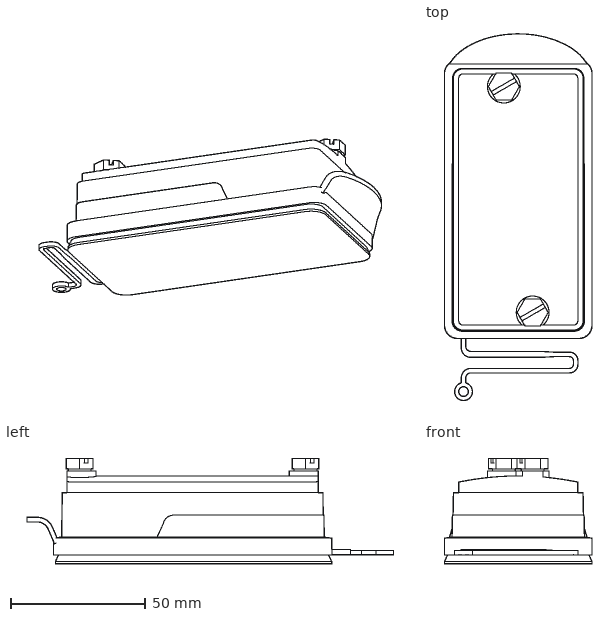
import cadquery as cq
import math

width = 54.96
length = 103.5

base_length = 102.8
base_foot_height = 0.85
base_height = 3.3
base_chamfer_run = 1.1
base_corner_radius = 5.9

flange_top = 9.6
flange_slope_rise = 0.5
flange_corner_radius = 5.0

body_width = 48.3
body_length = 97.0
body_top = 26.5
body_corner_radius = 3.4
body_draft = 0.9
panel_thickness = 0.25
panel_top = 18.15
panel_rear_y = 13.4
panel_bend_y = 10.9
panel_bend_z = 15.0
panel_level_y = 7.0
panel_arc_y = 9.5
panel_arc_z = 17.3

lid_width = 44.3
lid_length = 93.5
lid_corner_radius = 1.7
lid_edge_z = 30.5
lid_crown_z = 32.75

screw_x = 5.35
screw_y = 42.0
screw_boss_radius = 6.1
screw_boss_top = 34.65
screw_neck_radius = 4.3
screw_head_bottom = 35.4
screw_head_top = 39.3
screw_head_sides = 6
screw_head_across_flats = 10.0
screw_slot_width = 1.5
screw_slot_depth = 1.8
screw_slot_angle = 30

tab_end_y = 61.65
tab_top = 17.4
tab_thickness = 1.8
tab_bend_y = 57.75
tab_bend_radius = 6.16
tab_bend_angle = 66.5
tab_foot_length = 6.0
tab_plan_depth = 17.5

wire_bottom = 3.35
wire_width = 1.75
thin_wire_height = 1.7
thick_wire_width = 2.3
thick_wire_height = 2.1
wire_root_depth = 2.0
wire_leg_x = -20.35
wire_turn_x = 21.35
wire_near_y = -57.6
wire_far_y = -63.65
wire_elbow_radius = 2.7
wire_turn_radius = 2.3
wire_neck_start_x = 8.55
wire_neck_end_x = 13.3
eye_y = -71.43
eye_outer_radius = 3.35
eye_inner_radius = 1.75

diagonal_inset = 1 - math.sqrt(0.5)


def rounded_block(size_x, size_y, radius, bottom, top, draft=0.0):
    """Rounded rectangular block between two heights, narrowing upwards by the draft angle."""
    outline = cq.Sketch().rect(size_x, size_y).vertices().fillet(radius)
    return cq.Workplane("XY").workplane(offset=bottom).placeSketch(outline).extrude(top - bottom, taper=draft)


def make_base():
    centre_shift = (base_length - length) / 2
    skirt_height = base_height - base_foot_height
    skirt_angle = math.degrees(math.atan(base_chamfer_run / skirt_height))
    foot = rounded_block(width, base_length, base_corner_radius, 0, base_foot_height)
    skirt = rounded_block(width, base_length, base_corner_radius, base_foot_height, base_height, skirt_angle)
    return foot.union(skirt).translate((0, centre_shift, 0))


def make_flange():
    """Straight rim, then a slope lofted to the outline of the walls where they stand on it."""
    rim = rounded_block(width, length, flange_corner_radius, base_height, flange_top)
    rim_outline = cq.Sketch().rect(width, length).vertices().fillet(flange_corner_radius)
    wall_outline = cq.Sketch().rect(body_width, body_length).vertices().fillet(body_corner_radius)
    slope = (
        cq.Workplane("XY")
        .workplane(offset=flange_top)
        .placeSketch(rim_outline, wall_outline.moved(cq.Location(cq.Vector(0, 0, flange_slope_rise))))
        .loft()
    )
    return rim.union(slope)


def make_drafted_walls(offset, top):
    """Housing walls up to the given height, pushed outwards by the offset."""
    lower_growth = (body_top - flange_top) * math.tan(math.radians(body_draft))
    growth = 2 * (lower_growth + offset)
    corner = body_corner_radius + lower_growth + offset
    return rounded_block(body_width + growth, body_length + growth, corner, flange_top, top, body_draft)


def make_shell(offset, top):
    """Flange with the housing walls standing on it."""
    return make_flange().union(make_drafted_walls(offset, top))


def make_housing():
    """Shell with a slightly raised panel wrapped around the lower -Y part of its walls."""
    panel_region = (
        cq.Workplane("YZ")
        .moveTo(-length / 2, flange_top)
        .lineTo(panel_rear_y, flange_top)
        .lineTo(panel_bend_y, panel_bend_z)
        .threePointArc((panel_arc_y, panel_arc_z), (panel_level_y, panel_top))
        .lineTo(-length / 2, panel_top)
        .close()
        .extrude(width / 2, both=True)
    )
    panel = make_shell(panel_thickness, panel_top).intersect(panel_region)
    return make_shell(0, body_top).union(panel)


def make_lid():
    block = rounded_block(lid_width, lid_length, lid_corner_radius, body_top, lid_crown_z)
    crown = (
        cq.Workplane("XZ")
        .moveTo(-lid_width / 2, body_top)
        .lineTo(-lid_width / 2, lid_edge_z)
        .threePointArc((0, lid_crown_z), (lid_width / 2, lid_edge_z))
        .lineTo(lid_width / 2, body_top)
        .close()
        .extrude(lid_length / 2, both=True)
    )
    return block.intersect(crown)


def cylinder(radius, bottom, top):
    return cq.Workplane("XY").workplane(offset=bottom).circle(radius).extrude(top - bottom)


def make_screw(x, y):
    """Slotted hexagon head on a neck, over a boss trimmed flush with the lid sides."""
    lid_space = rounded_block(lid_width, lid_length, lid_corner_radius, body_top, screw_boss_top)
    boss = cylinder(screw_boss_radius, body_top, screw_boss_top).translate((x, y, 0)).intersect(lid_space)
    neck = cylinder(screw_neck_radius, body_top, screw_head_bottom)
    across_corners = screw_head_across_flats / math.cos(math.pi / screw_head_sides)
    head = (
        cq.Workplane("XY")
        .workplane(offset=screw_head_bottom)
        .polygon(screw_head_sides, across_corners)
        .extrude(screw_head_top - screw_head_bottom)
    )
    slot = (
        cq.Workplane("XY")
        .workplane(offset=screw_head_top - screw_slot_depth)
        .rect(2 * across_corners, screw_slot_width)
        .extrude(screw_slot_depth)
        .rotate((0, 0, 0), (0, 0, 1), screw_slot_angle)
    )
    return boss.union(neck.union(head.cut(slot)).translate((x, y, 0)))


def make_tab():
    """Sheet tab rising from the flange and bending out to +Y, rounded to half an ellipse in plan."""
    centre_z = tab_top - tab_bend_radius
    inner_radius = tab_bend_radius - tab_thickness

    def on_bend(radius, angle):
        turn = math.radians(angle)
        return (tab_bend_y - radius * math.sin(turn), centre_z + radius * math.cos(turn))

    def down_foot(point):
        turn = math.radians(tab_bend_angle)
        return (point[0] - tab_foot_length * math.cos(turn), point[1] - tab_foot_length * math.sin(turn))

    upper_end = on_bend(tab_bend_radius, tab_bend_angle)
    lower_end = on_bend(inner_radius, tab_bend_angle)
    sheet = (
        cq.Workplane("YZ")
        .moveTo(tab_end_y, tab_top)
        .lineTo(tab_bend_y, tab_top)
        .threePointArc(on_bend(tab_bend_radius, tab_bend_angle / 2), upper_end)
        .lineTo(*down_foot(upper_end))
        .lineTo(*down_foot(lower_end))
        .lineTo(*lower_end)
        .threePointArc(on_bend(inner_radius, tab_bend_angle / 2), (tab_bend_y, tab_top - tab_thickness))
        .lineTo(tab_end_y, tab_top - tab_thickness)
        .close()
        .extrude(width / 2, both=True)
    )
    plan = cq.Workplane("XY").ellipse(width / 2, tab_plan_depth).extrude(tab_top)
    return sheet.intersect(plan.translate((0, tab_end_y - tab_plan_depth, 0)))


def make_thick_wire():
    """L-shaped thick run from the flange to the neck-down."""
    leg_left = wire_leg_x - wire_width / 2
    leg_right = wire_leg_x + wire_width / 2
    run_front = wire_near_y - thick_wire_width / 2
    run_back = wire_near_y + thick_wire_width / 2
    root_y = -length / 2 + wire_root_depth
    outer = wire_elbow_radius + wire_width / 2
    inner = wire_elbow_radius - wire_width / 2
    return (
        cq.Workplane("XY")
        .workplane(offset=wire_bottom)
        .moveTo(leg_right, root_y)
        .lineTo(leg_left, root_y)
        .lineTo(leg_left, run_front + outer)
        .threePointArc(
            (leg_left + outer * diagonal_inset, run_front + outer * diagonal_inset),
            (leg_left + outer, run_front),
        )
        .lineTo(wire_neck_start_x, run_front)
        .lineTo(wire_neck_start_x, run_back)
        .lineTo(leg_right + inner, run_back)
        .threePointArc(
            (leg_right + inner * diagonal_inset, run_back + inner * diagonal_inset),
            (leg_right, run_back + inner),
        )
        .close()
        .extrude(thick_wire_height)
    )


def make_wire_neck():
    """Tapered join from the thick run to the thin run."""
    return (
        cq.Workplane("YZ", origin=(wire_neck_start_x, wire_near_y, wire_bottom))
        .center(0, thick_wire_height / 2)
        .rect(thick_wire_width, thick_wire_height)
        .workplane(offset=wire_neck_end_x - wire_neck_start_x)
        .center(0, (thin_wire_height - thick_wire_height) / 2)
        .rect(wire_width, thin_wire_height)
        .loft(ruled=True)
    )


def make_thin_wire():
    """Thin run: out to the turn, back along -Y and down to the eye."""
    turn_inset = wire_turn_radius * diagonal_inset
    elbow_inset = wire_elbow_radius * diagonal_inset
    turn_start_x = wire_turn_x - wire_turn_radius
    mid_z = wire_bottom + thin_wire_height / 2
    path = (
        cq.Workplane("XY", origin=(0, 0, mid_z))
        .moveTo(wire_neck_end_x, wire_near_y)
        .lineTo(turn_start_x, wire_near_y)
        .threePointArc(
            (wire_turn_x - turn_inset, wire_near_y - turn_inset),
            (wire_turn_x, wire_near_y - wire_turn_radius),
        )
        .lineTo(wire_turn_x, wire_far_y + wire_turn_radius)
        .threePointArc(
            (wire_turn_x - turn_inset, wire_far_y + turn_inset),
            (turn_start_x, wire_far_y),
        )
        .lineTo(wire_leg_x + wire_elbow_radius, wire_far_y)
        .threePointArc(
            (wire_leg_x + elbow_inset, wire_far_y - elbow_inset),
            (wire_leg_x, wire_far_y - wire_elbow_radius),
        )
        .lineTo(wire_leg_x, eye_y)
    )
    section = cq.Workplane("YZ", origin=(wire_neck_end_x, wire_near_y, mid_z)).rect(wire_width, thin_wire_height)
    strip = section.sweep(path)
    eye_top = wire_bottom + thin_wire_height
    eye = cylinder(eye_outer_radius, wire_bottom, eye_top).translate((wire_leg_x, eye_y, 0))
    bore = cylinder(eye_inner_radius, wire_bottom, eye_top).translate((wire_leg_x, eye_y, 0))
    return strip.union(eye).cut(bore)


result = make_base().union(make_housing()).union(make_lid()).union(make_tab())
for side in (-1, 1):
    result = result.union(make_screw(side * screw_x, -side * screw_y))
result = result.union(make_thick_wire()).union(make_wire_neck()).union(make_thin_wire())